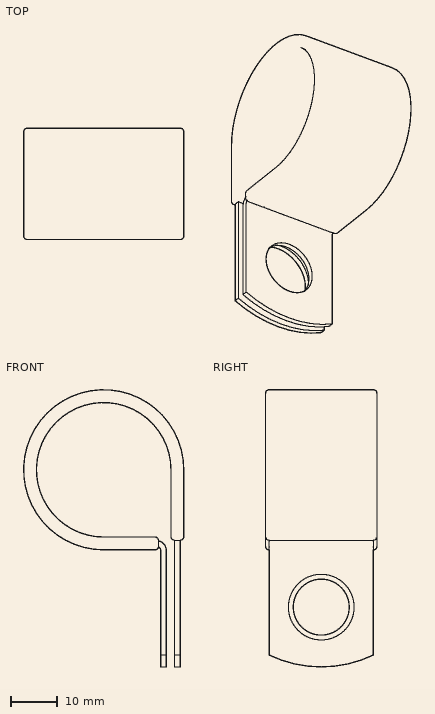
import cadquery as cq

outer_radius = 17.1
strap_thickness = 1.25
cushion_cover = 0.75
strap_width = 22.25
bottom_cushion_end = 11.7
side_cushion_end = -15.0
bend_inner_radius = 0.9
tab_outer_face = 12.1
tab_bottom = -42.05
tab_corner = -39.5
bent_tab_hole = 11.9
side_leg_hole = 14.0
hole_height = -29.3

cushion_width = strap_width + 2 * cushion_cover
inner_radius = outer_radius - strap_thickness - 2 * cushion_cover
strap_outer_radius = outer_radius - cushion_cover
strap_inner_radius = inner_radius + cushion_cover
bend_outer_radius = bend_inner_radius + strap_thickness
bend_end = -strap_inner_radius - bend_outer_radius
tab_inner_face = tab_outer_face + strap_thickness
bend_start = tab_outer_face - bend_inner_radius


def loop_band(outside, inside, leg_end_x, leg_end_z, width):
    """Three-quarter ring with a lower leg along +X and a side leg along -Z."""
    diagonal = 0.5 ** 0.5
    return (
        cq.Workplane("XZ")
        .moveTo(leg_end_x, -outside)
        .lineTo(0, -outside)
        .threePointArc((-outside * diagonal, outside * diagonal), (outside, 0))
        .lineTo(outside, leg_end_z)
        .lineTo(inside, leg_end_z)
        .lineTo(inside, 0)
        .threePointArc((-inside * diagonal, inside * diagonal), (0, -inside))
        .lineTo(leg_end_x, -inside)
        .close()
        .extrude(width / 2, both=True)
    )


def make_cushion():
    band = loop_band(outer_radius, inner_radius, bottom_cushion_end, side_cushion_end, cushion_width)
    rims = band.faces("<Y or >Y").edges()
    margin = cushion_cover / 2
    side_end = band.edges(cq.selectors.BoxSelector(
        (inner_radius - margin, -margin, side_cushion_end - margin),
        (outer_radius + margin, margin, side_cushion_end + margin),
    ))
    bottom_end = band.edges(cq.selectors.BoxSelector(
        (bottom_cushion_end - margin, -margin, -outer_radius - margin),
        (bottom_cushion_end + margin, margin, -inner_radius + margin),
    ))
    return rims.add(side_end).add(bottom_end).fillet(cushion_cover)


def make_strap():
    loop = loop_band(strap_outer_radius, strap_inner_radius, bend_start, tab_bottom, strap_width)
    bend_and_tab = (
        cq.Workplane("XZ")
        .moveTo(bend_start, -strap_inner_radius)
        .radiusArc((tab_inner_face, bend_end), bend_outer_radius)
        .lineTo(tab_inner_face, tab_bottom)
        .lineTo(tab_outer_face, tab_bottom)
        .lineTo(tab_outer_face, bend_end)
        .radiusArc((bend_start, -strap_outer_radius), -bend_inner_radius)
        .close()
        .extrude(strap_width / 2, both=True)
    )
    return loop.union(bend_and_tab)


def make_tab_outline():
    """Strap silhouette along X, with the curved tab bottom."""
    half_width = strap_width / 2
    return (
        cq.Workplane("YZ")
        .moveTo(-half_width, outer_radius)
        .lineTo(-half_width, tab_corner)
        .threePointArc((0, tab_bottom), (half_width, tab_corner))
        .lineTo(half_width, outer_radius)
        .close()
        .extrude(outer_radius, both=True)
    )


def bolt_hole(diameter, start_x, end_x):
    """Cutter along X at the hole height."""
    return (
        cq.Workplane("YZ", origin=(start_x, 0, hole_height))
        .circle(diameter / 2)
        .extrude(end_x - start_x)
    )


strap = make_strap().intersect(make_tab_outline())
strap = strap.cut(bolt_hole(bent_tab_hole, tab_outer_face, tab_inner_face))
strap = strap.cut(bolt_hole(side_leg_hole, strap_inner_radius, strap_outer_radius))
result = make_cushion().union(strap)